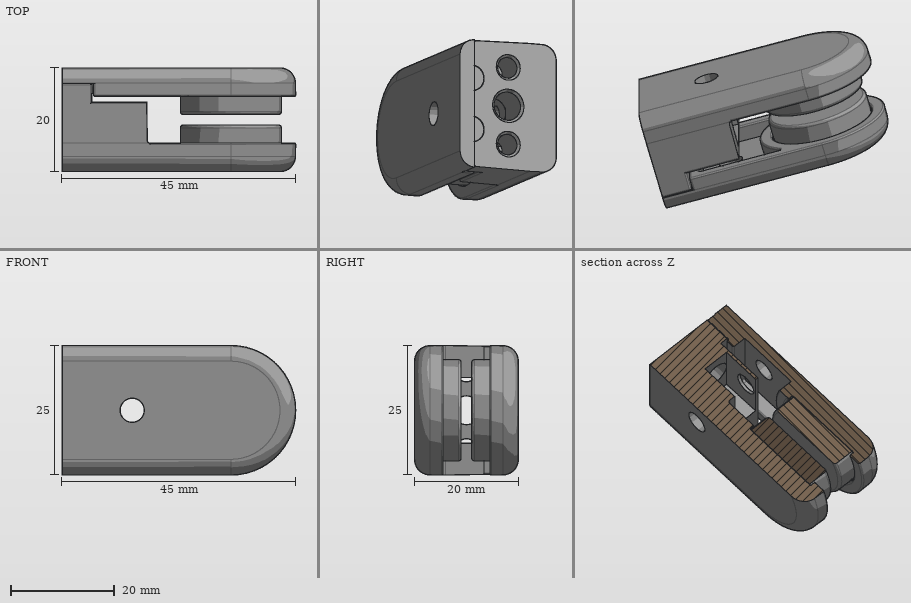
import cadquery as cq
import math

length = 45.0
height = 25.0
thickness = 20.0
nose_radius = height / 2
nose_x = length - nose_radius
outer_y = thickness / 2
draft = 1.0
outer_fillet = 3.0
edge_fillet = 0.3

jaw_y = 4.5
contact_y = 7.0
step_y = 3.4
shoulder_x = 5.75
block_x = 16.45
root_fillet = 0.5
lip_x = 6.05

rib_radius = 2.45
groove_radius = 2.5
rib_setback = 0.1
rib_y = 7.5
rib_z = 5.0

screw_diameter = 4.6
screw_x = 13.5
center_hole_diameter = 5.5
side_hole_diameter = 4.0
side_hole_z = 7.5
hole_chamfer = 0.5
side_hole_depth = 8.0
slot_start_half_height = 6.55
slot_end_half_height = 6.3

pad_radius = 9.75
pad_gap = 2.0
pad_fillet = 0.55
seat_clearance = 0.25
seat_radius = pad_radius + seat_clearance
seat_depth = 1.0

recess_x = 8.0
recess_depth = 3.0
recess_half_height = 9.9
recess_arc_radius = 12.4
recess_corner_fillet = 0.5

overrun = 5.0
reach = 0.1


def edges_between(x_start, x_end, y_start, y_end):
    """Selector for edges centred in the given X and Y ranges, widened a little, at any height."""
    return cq.selectors.BoxSelector(
        (x_start - reach, y_start - reach, -height), (x_end + reach, y_end + reach, height)
    )


def plane_at(y, side):
    """Workplane at the given Y, extruding towards side * Y, with local x along +X."""
    return cq.Workplane(cq.Plane(origin=(0, y, 0), xDir=(1, 0, 0), normal=(0, side, 0)))


def trim_mounting_face(body):
    keep = cq.Workplane("XY").box(length, 2 * thickness, 2 * height, centered=(False, True, True))
    return body.intersect(keep)


def jaw(side):
    """Drafted plate with a round nose, jaw face inwards and a rounded outer rim."""
    blank = (
        plane_at(side * jaw_y, side)
        .moveTo(-overrun, -height / 2)
        .lineTo(nose_x, -height / 2)
        .threePointArc((length, 0), (nose_x, height / 2))
        .lineTo(-overrun, height / 2)
        .close()
        .extrude(outer_y - jaw_y, taper=draft)
    )
    rounded = blank.faces(">Y" if side > 0 else "<Y").edges("not(<X)").fillet(outer_fillet)
    return trim_mounting_face(rounded)


def pad_cylinder(side, radius, start_y, end_y):
    return plane_at(side * start_y, side).center(nose_x, 0).circle(radius).extrude(end_y - start_y)


def pad_seat(side):
    return pad_cylinder(side, seat_radius, jaw_y, jaw_y + seat_depth)


def screw_hole():
    return plane_at(-outer_y, 1).center(screw_x, 0).circle(screw_diameter / 2).extrude(thickness)


def half_round_bars(radius, start_x):
    """Pair of bars along X from start_x into the thick part of the cover."""
    return (
        cq.Workplane("YZ", origin=(start_x, 0, 0))
        .pushPoints([(rib_y, -rib_z), (rib_y, rib_z)])
        .circle(radius)
        .extrude(lip_x + edge_fillet - start_x)
    )


def end_hole(diameter, depth, z):
    """Bore along X from the mounting face, with a chamfered mouth."""
    bore = cq.Workplane("YZ").center(0, z).circle(diameter / 2).extrude(depth)
    mouth = cq.Workplane(
        cq.Solid.makeCone(
            diameter / 2 + hole_chamfer, diameter / 2, hole_chamfer, cq.Vector(0, 0, z), cq.Vector(1, 0, 0)
        )
    )
    return bore.union(mouth)


def block():
    full_height = contact_y + jaw_y
    blank = (
        plane_at(-jaw_y, 1)
        .moveTo(-overrun, -height / 2)
        .lineTo(block_x, -height / 2)
        .lineTo(block_x, height / 2)
        .lineTo(-overrun, height / 2)
        .close()
        .extrude(full_height, taper=draft)
    )
    step = (
        cq.Workplane("XY")
        .box(length, contact_y, 2 * height, centered=(False, False, True))
        .translate((shoulder_x, step_y, 0))
    )
    stepped = trim_mounting_face(blank.cut(step))
    top_edges = stepped.edges(edges_between(0, shoulder_x, contact_y, contact_y)).edges("|X")
    shoulder_edges = stepped.edges(edges_between(shoulder_x, shoulder_x, step_y, contact_y)).edges("not(|Z)")
    step_edges = stepped.edges(edges_between(shoulder_x, block_x, step_y, step_y)).edges("|X")
    return stepped.newObject(top_edges.vals() + shoulder_edges.vals() + step_edges.vals()).fillet(edge_fillet)


def slot():
    """Slot from the ends of the side holes out through the block's inner end."""
    return (
        cq.Workplane("XZ")
        .moveTo(side_hole_depth, -slot_start_half_height)
        .lineTo(block_x, -slot_end_half_height)
        .lineTo(block_x, slot_end_half_height)
        .lineTo(side_hole_depth, slot_start_half_height)
        .close()
        .extrude(center_hole_diameter / 2, both=True)
    )


def make_housing():
    square_jaw = jaw(-1)
    rounded_jaw = square_jaw.faces(">Y").edges("not(<X)").fillet(edge_fillet)
    heel = square_jaw.intersect(
        cq.Workplane("XY").box(block_x + root_fillet, 2 * thickness, 2 * height, centered=(False, True, True))
    )
    root = edges_between(block_x, block_x, -jaw_y, -jaw_y)
    body = heel.union(block()).edges(root).edges("|Z").fillet(root_fillet).union(rounded_jaw)
    body = body.cut(pad_seat(-1)).cut(screw_hole()).cut(half_round_bars(groove_radius, 0)).cut(slot())
    body = body.cut(end_hole(center_hole_diameter, block_x, 0))
    for z in (-side_hole_z, side_hole_z):
        body = body.cut(end_hole(side_hole_diameter, side_hole_depth, z))
    return body


def cover_recess():
    corner_x = nose_x - math.sqrt(recess_arc_radius**2 - recess_half_height**2)
    return (
        plane_at(jaw_y, 1)
        .moveTo(recess_x, -recess_half_height)
        .lineTo(corner_x, -recess_half_height)
        .threePointArc((nose_x - recess_arc_radius, 0), (corner_x, recess_half_height))
        .lineTo(recess_x, recess_half_height)
        .close()
        .extrude(recess_depth)
        .edges("|Y")
        .fillet(recess_corner_fillet)
    )


def make_cover():
    relief = cq.Workplane("XY").box(lip_x, contact_y, 2 * height, centered=(False, False, True))
    body = jaw(1).cut(relief).cut(cover_recess()).cut(pad_seat(1))
    jaw_edges = body.edges(edges_between(0, length, jaw_y, jaw_y))
    lip_corners = body.edges(edges_between(lip_x, lip_x, jaw_y, contact_y)).edges("not(|Z)")
    body = body.newObject(jaw_edges.vals() + lip_corners.vals()).fillet(edge_fillet)
    return body.union(half_round_bars(rib_radius, rib_setback)).cut(screw_hole())


def make_pad(side):
    pad = pad_cylinder(side, pad_radius, pad_gap / 2, jaw_y + seat_depth)
    return pad.faces("<Y" if side > 0 else ">Y").edges().fillet(pad_fillet)


housing = make_housing()
cover = make_cover()
pads = [make_pad(side) for side in (-1, 1)]

result = cq.Compound.makeCompound([housing.val(), cover.val(), *[pad.val() for pad in pads]])